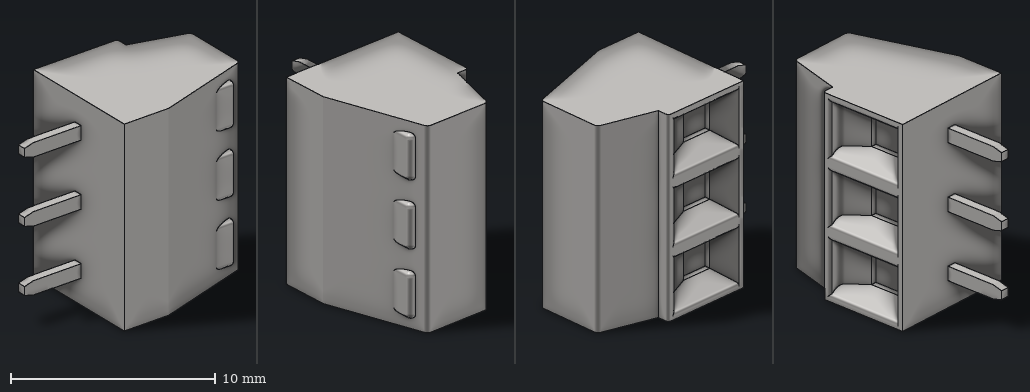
import cadquery as cq
import math

POLES = 3
PITCH = 3.81
BODY_LENGTH = POLES * PITCH

BODY_DEPTH = 7.3
BODY_HEIGHT = 8.5
LEDGE_HEIGHT = 5.2
LEDGE_DEPTH = 0.7
TOP_FRONT_X = 1.63
TOP_BACK_X = 5.52
BACK_WALL_HEIGHT = 2.75
TOP_ROUNDING = 0.3
LEDGE_ROUNDING = 0.2

MOUTH_BOTTOM_Y = 0.31
MOUTH_TOP_Y = 4.93
MOUTH_WIDTH = 3.4
RIM_RADIUS = 0.265
FUNNEL_DEPTH = 1.13
SOCKET_DEPTH = 0.32
SOCKET_FLOOR_X = FUNNEL_DEPTH + SOCKET_DEPTH
SOCKET_BOTTOM_Y = 1.22
SOCKET_TOP_Y = 3.03
SOCKET_WIDTH = 1.59
FUNNEL_BEND_X = 0.63
FUNNEL_BEND_RADIUS = 0.4

BUMP_TOP_Y = 7.82
BUMP_BACK_X = 6.1
BUMP_WIDTH = 2.6
BUMP_HEIGHT = 2.0
BUMP_ROOT_DEPTH = 1.2
BUMP_CORNER_RADIUS = 0.3
BUMP_TOP_ROUNDING = 0.27

PIN_X = 3.6
PIN_THICKNESS = 0.5
PIN_WIDTH = 0.8
PIN_TIP_WIDTH = 0.5
PIN_LENGTH = 3.5
PIN_TAPER_LENGTH = 0.55


def make_housing():
    outline = [
        (0, 0),
        (BODY_DEPTH, 0),
        (BODY_DEPTH, BACK_WALL_HEIGHT),
        (TOP_BACK_X, BODY_HEIGHT),
        (TOP_FRONT_X, BODY_HEIGHT),
        (LEDGE_DEPTH, LEDGE_HEIGHT),
        (0, LEDGE_HEIGHT),
    ]
    housing = cq.Workplane("XY").polyline(outline).close().extrude(BODY_LENGTH)
    housing = housing.edges("|Z").edges(">Y").fillet(TOP_ROUNDING)
    ledge_corner = cq.selectors.NearestToPointSelector((0, LEDGE_HEIGHT, BODY_LENGTH / 2))
    return housing.edges("|Z").edges(ledge_corner).fillet(LEDGE_ROUNDING)


def rim_end():
    """Depth below the entry face and inward reach of the rounded rim, where it meets the walls.

    The rim arc starts tangent to the entry face and ends tangent to the flared side walls.
    """
    run = FUNNEL_DEPTH - RIM_RADIUS
    rise = (MOUTH_WIDTH - SOCKET_WIDTH) / 2
    flare_angle = math.atan2(rise, run) - math.asin(RIM_RADIUS / math.hypot(run, rise))
    depth = RIM_RADIUS * (1 - math.sin(flare_angle))
    reach = RIM_RADIUS * math.cos(flare_angle)
    return depth, reach


def make_funnel_height_profile():
    """Funnel section in XY, extruded over the mouth width and centred on Z = 0."""
    rim_depth, rim_reach = rim_end()
    wall_y = MOUTH_TOP_Y - rim_reach
    slope_x = FUNNEL_DEPTH - FUNNEL_BEND_X
    slope_y = wall_y - SOCKET_TOP_Y
    slope_angle = math.atan2(slope_y, slope_x)
    setback = FUNNEL_BEND_RADIUS * math.tan(slope_angle / 2)
    bend_start = (
        FUNNEL_BEND_X + setback * math.cos(slope_angle),
        wall_y - setback * math.sin(slope_angle),
    )
    bend_end = (FUNNEL_BEND_X - setback, wall_y)
    return (
        cq.Workplane("XY")
        .moveTo(0, MOUTH_BOTTOM_Y)
        .lineTo(FUNNEL_DEPTH, SOCKET_BOTTOM_Y)
        .lineTo(SOCKET_FLOOR_X, SOCKET_BOTTOM_Y)
        .lineTo(SOCKET_FLOOR_X, SOCKET_TOP_Y)
        .lineTo(FUNNEL_DEPTH, SOCKET_TOP_Y)
        .lineTo(*bend_start)
        .tangentArcPoint(bend_end, relative=False)
        .lineTo(rim_depth, wall_y)
        .radiusArc((0, MOUTH_TOP_Y), RIM_RADIUS)
        .close()
        .extrude(MOUTH_WIDTH / 2, both=True)
    )


def make_funnel_width_profile():
    """Funnel section in XZ with flared sides, extruded over the mouth height."""
    half_mouth = MOUTH_WIDTH / 2
    half_socket = SOCKET_WIDTH / 2
    rim_depth, rim_reach = rim_end()
    rim_z = half_mouth - rim_reach
    return (
        cq.Workplane("XZ", origin=(0, MOUTH_TOP_Y, 0))
        .moveTo(0, half_mouth)
        .radiusArc((rim_depth, rim_z), -RIM_RADIUS)
        .lineTo(FUNNEL_DEPTH, half_socket)
        .lineTo(SOCKET_FLOOR_X, half_socket)
        .lineTo(SOCKET_FLOOR_X, -half_socket)
        .lineTo(FUNNEL_DEPTH, -half_socket)
        .lineTo(rim_depth, -rim_z)
        .radiusArc((0, -half_mouth), -RIM_RADIUS)
        .close()
        .extrude(MOUTH_TOP_Y - MOUTH_BOTTOM_Y)
    )


def make_funnel():
    return make_funnel_height_profile().intersect(make_funnel_width_profile())


def make_bump():
    return (
        cq.Workplane("XY", origin=(BUMP_BACK_X, BUMP_TOP_Y, 0))
        .box(BUMP_ROOT_DEPTH, BUMP_HEIGHT, BUMP_WIDTH)
        .translate((-BUMP_ROOT_DEPTH / 2, -BUMP_HEIGHT / 2, 0))
        .edges("|Y and >X")
        .fillet(BUMP_CORNER_RADIUS)
        .faces(">Y")
        .edges()
        .fillet(BUMP_TOP_ROUNDING)
    )


def make_pin():
    half_width = PIN_WIDTH / 2
    half_tip = PIN_TIP_WIDTH / 2
    taper_y = PIN_TAPER_LENGTH - PIN_LENGTH
    outline = [
        (0, half_width),
        (taper_y, half_width),
        (-PIN_LENGTH, half_tip),
        (-PIN_LENGTH, -half_tip),
        (taper_y, -half_width),
        (0, -half_width),
    ]
    pin = cq.Workplane("YZ", origin=(PIN_X, 0, 0)).polyline(outline).close()
    return pin.extrude(PIN_THICKNESS / 2, both=True)


result = make_housing()
for pole in range(POLES):
    pole_centre = (0, 0, (pole + 0.5) * PITCH)
    result = result.cut(make_funnel().translate(pole_centre))
    result = result.union(make_bump().translate(pole_centre))
    result = result.union(make_pin().translate(pole_centre))